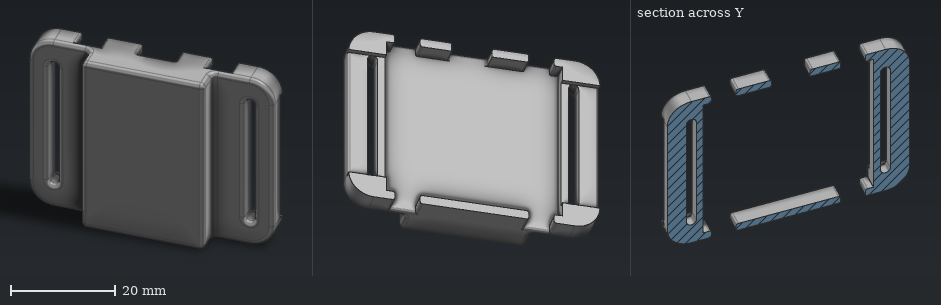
import cadquery as cq

LENGTH = 50.0
HEIGHT = 37.8
DEPTH = 10.0
CORNER_RADIUS = 5.0
FRONT_FILLET = 1.0

PLATE_THICKNESS = 5.0
BLOCK_WIDTH = 25.0
BACK_Y = DEPTH / 2
FRONT_Y = -DEPTH / 2
PLATE_FRONT_Y = BACK_Y - PLATE_THICKNESS

POCKET_WIDTH = 35.0
POCKET_DEPTH = 3.5
END_WALL = 1.9
POCKET_HEIGHT = HEIGHT - 2 * END_WALL

NOTCH_FILLET = 0.5
SIDE_NOTCH_WIDTH = 5.0
SIDE_NOTCH_X = 13.325
CENTRE_NOTCH_WIDTH = 8.0
CENTRE_NOTCH_X = 0.5
CENTRE_NOTCH_CORNER_RADIUS = 0.5

SLOT_X = 20.0
SLOT_WIDTH = 2.0
SLOT_LENGTH = 28.0
RECESS_HEIGHT = 28.0
RECESS_DEPTH = 1.0
RECESS_EDGE_FILLET = 0.5

FRAME_MARGIN = 2.0
CUT_MARGIN = 1.0
TOLERANCE = 0.01


def edges_near(body, low, high):
    """Edges lying wholly between two opposite box corners, with a small allowance."""
    low_corner = [value - TOLERANCE for value in low]
    high_corner = [value + TOLERANCE for value in high]
    return body.edges(cq.selectors.BoxSelector(low_corner, high_corner, boundingbox=True))


def back_box(width, height, depth, x=0.0, z=0.0):
    """Cutting box that reaches a given depth into the back face."""
    total = depth + CUT_MARGIN
    box = cq.Workplane("XY").box(width, total, height, centered=(True, False, True))
    return box.translate((x, BACK_Y - depth, z))


def make_body():
    """Rounded plate and raised block, with the front edges blended."""
    plate = cq.Workplane("XY").box(LENGTH, PLATE_THICKNESS, HEIGHT, centered=(True, False, True))
    plate = plate.edges("|Y").fillet(CORNER_RADIUS).translate((0, PLATE_FRONT_Y, 0))
    block = cq.Workplane("XY").box(BLOCK_WIDTH, DEPTH, HEIGHT)
    body = plate.union(block)

    half_block = BLOCK_WIDTH / 2
    half_height = HEIGHT / 2
    step_edges = edges_near(
        body,
        (-half_block, PLATE_FRONT_Y, -half_height),
        (half_block, PLATE_FRONT_Y, half_height),
    )
    body = step_edges.edges("|Z").fillet(FRONT_FILLET)
    front_edges = body.faces("<Y").edges()
    step_sides = edges_near(
        body,
        (-half_block, FRONT_Y, -half_height),
        (half_block, PLATE_FRONT_Y, half_height),
    ).edges("|Y")
    return front_edges.add(step_sides).fillet(FRONT_FILLET)


def cut_slot(body, x):
    """Through slot for a strap, with a rounded front rim."""
    slot = (
        cq.Workplane("XZ", origin=(x, BACK_Y + CUT_MARGIN, 0))
        .slot2D(SLOT_LENGTH, SLOT_WIDTH, 90)
        .extrude(DEPTH)
    )
    body = body.cut(slot)
    rim = edges_near(
        body,
        (x - SLOT_WIDTH / 2, PLATE_FRONT_Y, -SLOT_LENGTH / 2),
        (x + SLOT_WIDTH / 2, PLATE_FRONT_Y, SLOT_LENGTH / 2),
    )
    return rim.fillet(FRONT_FILLET)


def cut_recess(body):
    """Shallow recess across the back, open at both sides, with rounded side edges."""
    body = body.cut(back_box(LENGTH + 2 * CUT_MARGIN, RECESS_HEIGHT, RECESS_DEPTH))
    recess_y = BACK_Y - RECESS_DEPTH
    half_recess = RECESS_HEIGHT / 2
    for side in (-1, 1):
        x = side * LENGTH / 2
        edge = edges_near(body, (x, recess_y, -half_recess), (x, recess_y, half_recess))
        body = edge.fillet(RECESS_EDGE_FILLET)
    return body


def notch_cutter(x, width, end, corner_radius=0.0, round_inside=False):
    """Cutter for a notch in the top (end = 1) or bottom (end = -1) wall, flared to round its mouth.

    A small frame with the same notch is rounded first, and the cutter is what that frame leaves open.
    """
    wall_z = end * (HEIGHT - END_WALL) / 2
    frame_depth = POCKET_DEPTH + FRAME_MARGIN
    opening = back_box(width, END_WALL, POCKET_DEPTH, x, wall_z)
    if corner_radius:
        opening = opening.edges("|Z and <Y").fillet(corner_radius)
    blank = back_box(width + 2 * FRAME_MARGIN, END_WALL, frame_depth, x, wall_z)
    frame = blank.cut(opening)

    def mouth_edges(z):
        low = (x - width / 2, BACK_Y - POCKET_DEPTH, z)
        high = (x + width / 2, BACK_Y + CUT_MARGIN, z)
        return edges_near(frame, low, high)

    outer_z = end * HEIGHT / 2
    rounded = mouth_edges(outer_z)
    if round_inside:
        rounded = rounded.add(mouth_edges(outer_z - end * END_WALL).edges("|Y"))
    return blank.cut(rounded.fillet(NOTCH_FILLET))


result = make_body()
for side in (-1, 1):
    result = cut_slot(result, side * SLOT_X)
result = cut_recess(result)
result = result.cut(back_box(POCKET_WIDTH, POCKET_HEIGHT, POCKET_DEPTH))
for end in (-1, 1):
    for side in (-1, 1):
        cutter = notch_cutter(side * SIDE_NOTCH_X, SIDE_NOTCH_WIDTH, end, round_inside=True)
        result = result.cut(cutter)
result = result.cut(notch_cutter(CENTRE_NOTCH_X, CENTRE_NOTCH_WIDTH, 1, CENTRE_NOTCH_CORNER_RADIUS))